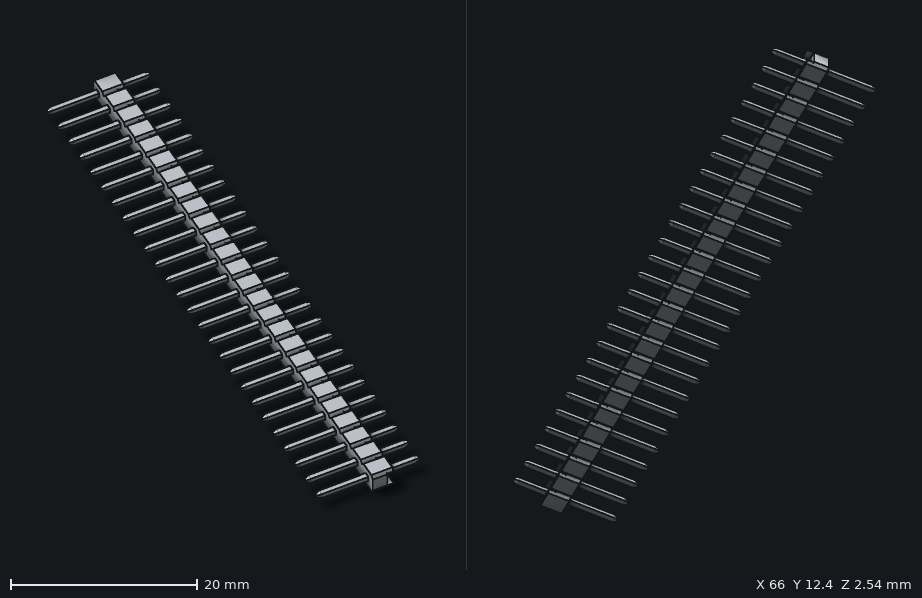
import cadquery as cq

length = 66.05
pin_count = 26
pitch = length / pin_count

body_height = pitch
body_depth = pitch
bevel_width = 0.345
bevel_height = 0.4
channel_depth = 0.8
lip_thickness = 0.345

pin_width = 0.64
pin_offset = -0.1
overall_depth = 12.4
front_reach = 6.15
back_reach = overall_depth - front_reach - body_depth
tip_length = 0.5
tip_width = 0.3


def body_unit():
    """One bevelled block, front face on y = 0."""
    half_width = pitch / 2
    half_height = body_height / 2
    flat_x = half_width - bevel_width
    flat_z = half_height - bevel_height
    outline = [
        (-half_width, -flat_z),
        (-flat_x, -half_height),
        (flat_x, -half_height),
        (half_width, -flat_z),
        (half_width, flat_z),
        (flat_x, half_height),
        (-flat_x, half_height),
        (-half_width, flat_z),
    ]
    return cq.Workplane("XZ").polyline(outline).close().extrude(-body_depth)


def back_channel():
    """Cutter for the channel that runs the whole length of the back face."""
    height = body_height - 2 * lip_thickness
    cutter = cq.Workplane("XY").box(length, channel_depth, height, centered=(True, False, True))
    return cutter.translate((0, body_depth - channel_depth, 0))


def pin_tip(end_y, direction):
    """Tapered tip whose narrow end is at end_y; direction is +1 towards +Y, -1 towards -Y."""
    normal = (0, direction, 0)
    base_y = end_y - direction * tip_length
    base = cq.Workplane(cq.Plane(origin=(0, base_y, 0), xDir=(1, 0, 0), normal=normal))
    return base.rect(pin_width, pin_width).workplane(offset=tip_length).rect(tip_width, tip_width).loft()


def pin():
    """Square pin with both ends tapered."""
    front_end = -front_reach
    back_end = body_depth + back_reach
    shank_length = back_end - front_end - 2 * tip_length
    shank = cq.Workplane("XY").box(pin_width, shank_length, pin_width, centered=(True, False, True))
    shank = shank.translate((0, front_end + tip_length, 0))
    return shank.union(pin_tip(front_end, -1)).union(pin_tip(back_end, 1))


def row_of(shape):
    """Copies of a shape once per unit along the row, fused into one."""
    first_x = (pitch - length) / 2
    row = cq.Workplane("XY")
    for index in range(pin_count):
        row = row.add(shape.translate((first_x + index * pitch, 0, 0)))
    return row.combine()


body = row_of(body_unit()).cut(back_channel())
result = body.union(row_of(pin().translate((pin_offset, 0, 0))))